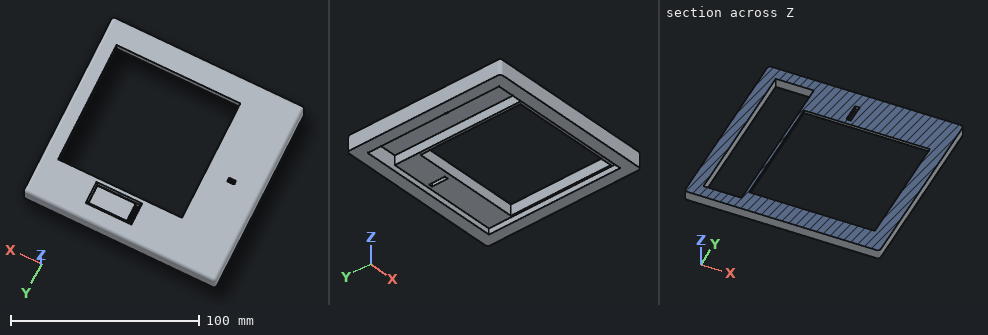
import cadquery as cq

length = 114.25
width = 108.31
height = 11.5
edge_radius = 2.0

rim_width = 8.0
recess_depth = 4.0
recess_x = length / 2 - rim_width
recess_y = width / 2 - rim_width

opening_left, opening_right = -25.2, 48.0
opening_front, opening_back = -40.5, 29.75

skin_thickness = 1.2
bay_wall = 2.0

slot_left, slot_right = -42.0, -38.0
slot_front, slot_back = -1.1, 1.0

pocket_left, pocket_right = -2.85, 24.2
pocket_front, pocket_back = 32.1, 45.05
bevel = 1.0
bevel_angle = 45
pocket_depth = 2.5
gap_width = 2.4


def block(left, right, front, back, bottom, top):
    """Axis-aligned box given by its six bounding planes."""
    size = (right - left, back - front, top - bottom)
    return cq.Workplane("XY").box(*size, centered=False).translate((left, front, bottom))


def make_plate():
    """Plate with rounded upright corners and a rounded top rim."""
    plate = cq.Workplane("XY").box(length, width, height, centered=(True, True, False))
    return plate.edges("|Z or >Z").fillet(edge_radius)


def make_underside():
    """Shallow recess inside the rim, deepened to the skin in the bay."""
    recess = block(-recess_x, recess_x, -recess_y, recess_y, 0, recess_depth)
    bay_right = opening_left - bay_wall
    bay = block(-recess_x, bay_right, -recess_y, recess_y, 0, height - skin_thickness)
    return recess.union(bay)


def make_opening():
    """Rectangular window from the top face down into the recess."""
    return block(opening_left, opening_right, opening_front, opening_back, recess_depth, height)


def make_slot():
    """Small slot from the top face down into the bay."""
    return block(slot_left, slot_right, slot_front, slot_back, height - skin_thickness, height)


def make_pocket():
    """Pocket with a bevelled mouth, a flat floor and a through gap along its left wall."""
    mouth_x = (pocket_left + pocket_right) / 2
    mouth_y = (pocket_front + pocket_back) / 2
    mouth = (
        cq.Workplane("XY", origin=(mouth_x, mouth_y, height))
        .rect(pocket_right - pocket_left, pocket_back - pocket_front)
        .extrude(-bevel, taper=bevel_angle)
    )
    left = pocket_left + bevel
    right = pocket_right - bevel
    front = pocket_front + bevel
    back = pocket_back - bevel
    bevel_bottom = height - bevel
    well = block(left, right, front, back, height - pocket_depth, bevel_bottom)
    gap = block(left, left + gap_width, front, back, 0, bevel_bottom)
    return mouth.union(well).union(gap)


result = make_plate().cut(make_underside())
result = result.cut(make_opening()).cut(make_slot()).cut(make_pocket())